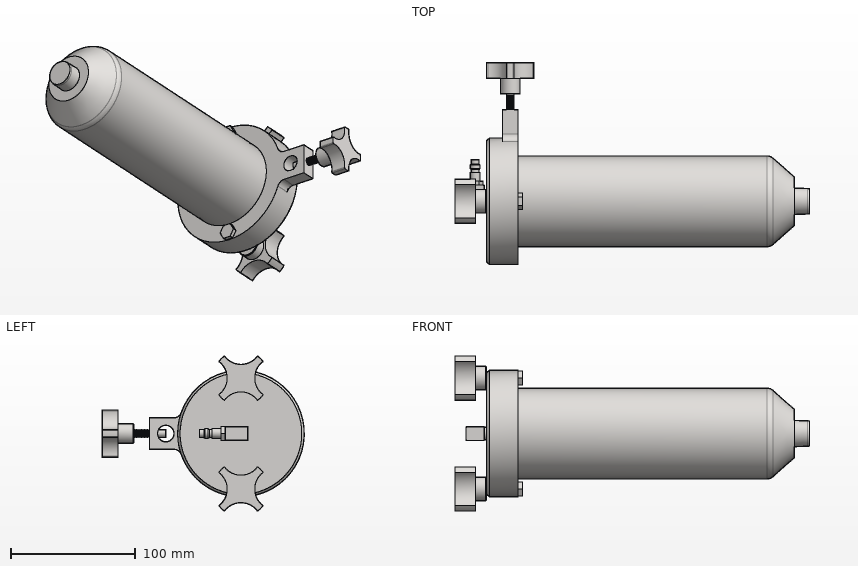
import cadquery as cq
import math

FLANGE_D = 101.6
FLANGE_LEN = 25.4
FLANGE_BEVEL_LEN = 2.5
FLANGE_BEVEL_DEPTH = 2.0

BODY_D = 73.0
BODY_END_X = 225.0
KNUCKLE_R = 7.0
CONE_ANGLE = 41.5
CONE_END_D = 39.0
NECK_ROOT_D = 21.34
NECK_TAPER = 1 / 16
NECK_END_X = 259.15
NECK_CHAMFER_LEN = 1.6
NECK_CHAMFER_DEPTH = 0.3

FACE_KNOB_R = 22.225
FACE_KNOB_ARM = 6.35
FACE_KNOB_WEB = 11.07
FACE_KNOB_TURN = 45.0
FACE_KNOB_THICK = 16.75
FACE_KNOB_OFFSET = 44.45
FACE_KNOB_STANDOFF = 25.4
FACE_HUB_D = 19.05
HUB_CHAMFER = 0.6

NUT_FLATS = 11.43
NUT_THICK = 3.5

LUG_THICK = 12.7
LUG_WIDTH = 25.4
LUG_TOP_Y = 73.5
LUG_FILLET_R = 6.35
LUG_HOLE_D = 13.08
LUG_HOLE_Y = 60.3

SIDE_KNOB_R = 19.05
SIDE_KNOB_ARM = 6.4
SIDE_KNOB_TIP_FILLET = 0.8
SIDE_KNOB_WEB = 9.5
SIDE_KNOB_THICK = 12.7
SIDE_KNOB_TOP_Y = 111.25
SIDE_HUB_D = 15.88
SIDE_HUB_LEN = 12.7
SIDE_ROD_D = 6.35
SIDE_ROD_ROOT_D = 5.39
SIDE_ROD_PITCH = 1.27

ELBOW_FRONT_X = -16.5
ELBOW_BACK_X = -1.7
ELBOW_MIN_Y = -5.5
ELBOW_MAX_Y = 13.0
ELBOW_WIDTH = 11.2
ELBOW_BEVEL = 0.45
ELBOW_STUB_D = 10.29
BARB_HEX_FLATS = 11.11
BARB_HEX_END_Y = 16.2
BARB_SHANK_D = 7.87
BARB_SHANK_END_Y = 23.1
BARB_NECK_D = 6.41
BARB_RING_START_Y = 25.4
BARB_RING_END_Y = 29.8
BARB_RAMP_LEN = 0.9
BARB_END_Y = 33.3


def cylinder(start, direction, diameter, length):
    """Solid cylinder from a start point along a direction."""
    solid = cq.Solid.makeCylinder(diameter / 2, length, cq.Vector(*start), cq.Vector(*direction))
    return cq.Workplane(solid)


def hex_prism(plane, across_flats, length):
    """Hexagonal prism with two corners on the plane's first axis."""
    across_corners = across_flats / math.cos(math.pi / 6)
    return plane.polygon(6, across_corners).extrude(length)


def flange():
    """Round flange with a bevelled front rim."""
    disc = cylinder((0, 0, 0), (1, 0, 0), FLANGE_D, FLANGE_LEN)
    return disc.faces("<X").chamfer(FLANGE_BEVEL_LEN, FLANGE_BEVEL_DEPTH)


def vessel():
    """Tube, knuckle, cone and tapered neck turned about X."""
    body_r = BODY_D / 2
    cone_r = CONE_END_D / 2
    angle = math.radians(CONE_ANGLE)

    def knuckle_point(turn):
        return BODY_END_X + KNUCKLE_R * math.sin(turn), -body_r + KNUCKLE_R * (1 - math.cos(turn))

    knuckle_end = knuckle_point(angle)
    cone_x = knuckle_end[0] + (-cone_r - knuckle_end[1]) / math.tan(angle)
    chamfer_x = NECK_END_X - NECK_CHAMFER_LEN
    neck_root_r = NECK_ROOT_D / 2
    neck_tip_r = neck_root_r - (chamfer_x - cone_x) * NECK_TAPER / 2
    return (
        cq.Workplane("XY")
        .moveTo(0, 0)
        .lineTo(0, -body_r)
        .lineTo(BODY_END_X, -body_r)
        .threePointArc(knuckle_point(angle / 2), knuckle_end)
        .lineTo(cone_x, -cone_r)
        .lineTo(cone_x, -neck_root_r)
        .lineTo(chamfer_x, -neck_tip_r)
        .lineTo(NECK_END_X, -neck_tip_r + NECK_CHAMFER_DEPTH)
        .lineTo(NECK_END_X, 0)
        .close()
        .revolve(360, (0, 0, 0), (1, 0, 0))
    )


def lug():
    """Side lug blended into the flange rim with concave fillets."""
    half = LUG_WIDTH / 2
    rim_r = FLANGE_D / 2
    fillet_z = half + LUG_FILLET_R
    fillet_y = math.sqrt((rim_r + LUG_FILLET_R) ** 2 - fillet_z ** 2)
    rim_share = rim_r / (rim_r + LUG_FILLET_R)
    rim_y = fillet_y * rim_share
    rim_z = fillet_z * rim_share
    mid_angle = (math.atan2(rim_z - fillet_z, rim_y - fillet_y) - math.pi / 2) / 2
    mid_y = fillet_y + LUG_FILLET_R * math.cos(mid_angle)
    mid_z = fillet_z + LUG_FILLET_R * math.sin(mid_angle)
    return (
        cq.Workplane("YZ", origin=(FLANGE_LEN - LUG_THICK, 0, 0))
        .moveTo(0, -rim_z)
        .lineTo(rim_y, -rim_z)
        .threePointArc((mid_y, -mid_z), (fillet_y, -half))
        .lineTo(LUG_TOP_Y, -half)
        .lineTo(LUG_TOP_Y, half)
        .lineTo(fillet_y, half)
        .threePointArc((mid_y, mid_z), (rim_y, rim_z))
        .lineTo(0, rim_z)
        .close()
        .extrude(LUG_THICK)
    )


def knob_outline(plane, radius, arm, web):
    """Four-arm knob outline; arms lie along the plane axes, scallops sit between them."""
    half = arm / 2
    tip = math.sqrt(radius ** 2 - half ** 2)
    middle = web / math.sqrt(2)

    def turned(point, quarter):
        u, v = point
        for _ in range(quarter):
            u, v = -v, u
        return u, v

    outline = plane.moveTo(tip, -half)
    for quarter in range(4):
        outline = outline.threePointArc(turned((radius, 0), quarter), turned((tip, half), quarter))
        outline = outline.threePointArc(turned((middle, middle), quarter), turned((half, tip), quarter))
    return outline.close()


def face_knob(z):
    """Knob, hub and rear nut of one flange clamp bolt at height z."""
    hub_len = FACE_KNOB_STANDOFF - FACE_KNOB_THICK
    plane = cq.Workplane("YZ", origin=(-FACE_KNOB_STANDOFF, 0, z))
    handle = (
        knob_outline(plane, FACE_KNOB_R, FACE_KNOB_ARM, FACE_KNOB_WEB)
        .extrude(FACE_KNOB_THICK)
        .rotate((0, 0, z), (1, 0, z), FACE_KNOB_TURN)
    )
    hub = cylinder((-hub_len, 0, z), (1, 0, 0), FACE_HUB_D, hub_len).faces(">X").chamfer(HUB_CHAMFER)
    nut = hex_prism(cq.Workplane("YZ", origin=(FLANGE_LEN, 0, z)), NUT_FLATS, NUT_THICK)
    return handle.union(hub).union(nut)


def side_knob():
    """Knob, hub and rod that clamp into the lug hole along Y."""
    axis_x = FLANGE_LEN - LUG_THICK / 2
    plane = cq.Workplane("XZ", origin=(axis_x, SIDE_KNOB_TOP_Y, 0))
    handle = knob_outline(plane, SIDE_KNOB_R, SIDE_KNOB_ARM, SIDE_KNOB_WEB).extrude(SIDE_KNOB_THICK)
    handle = handle.edges("|Y").fillet(SIDE_KNOB_TIP_FILLET)
    hub_top = SIDE_KNOB_TOP_Y - SIDE_KNOB_THICK
    hub = cylinder((axis_x, hub_top, 0), (0, -1, 0), SIDE_HUB_D, SIDE_HUB_LEN)
    hub = hub.faces("<Y").chamfer(HUB_CHAMFER)
    rod = cylinder((axis_x, LUG_HOLE_Y, 0), (0, 1, 0), SIDE_ROD_D, hub_top - LUG_HOLE_Y)
    return handle.union(hub).union(rod.cut(rod_grooves(axis_x)))


def rod_grooves(axis_x):
    """Ring-shaped V grooves standing for the thread on the exposed rod."""
    hub_end = SIDE_KNOB_TOP_Y - SIDE_KNOB_THICK - SIDE_HUB_LEN
    crest_r = SIDE_ROD_D / 2
    root_r = SIDE_ROD_ROOT_D / 2
    count = math.floor((hub_end - LUG_TOP_Y) / SIDE_ROD_PITCH)
    groove = (
        cq.Workplane("XY")
        .moveTo(crest_r, 0)
        .lineTo(root_r, SIDE_ROD_PITCH / 2)
        .lineTo(crest_r, SIDE_ROD_PITCH)
        .close()
        .revolve(360, (0, 0, 0), (0, 1, 0))
    )
    grooves = cq.Workplane("XY")
    for index in range(count):
        grooves.add(groove.translate((axis_x, LUG_TOP_Y + index * SIDE_ROD_PITCH, 0)))
    return grooves.combine()


def elbow():
    """Rectangular elbow block with bevelled front and rear edges, on a round stub."""
    length_x = ELBOW_BACK_X - ELBOW_FRONT_X
    length_y = ELBOW_MAX_Y - ELBOW_MIN_Y
    block = (
        cq.Workplane("XY")
        .box(length_x, length_y, ELBOW_WIDTH, centered=(False, False, True))
        .translate((ELBOW_FRONT_X, ELBOW_MIN_Y, 0))
    )
    block = block.edges("<X and (|Y or >Y)").chamfer(ELBOW_BEVEL)
    block = block.faces(">X").chamfer(ELBOW_BEVEL)
    stub = cylinder((ELBOW_BACK_X, 0, 0), (1, 0, 0), ELBOW_STUB_D, -ELBOW_BACK_X)
    return block.union(stub)


def hose_barb():
    """Hex, shank and barbed tip turned about the elbow's Y outlet."""
    axis_x = (ELBOW_FRONT_X + ELBOW_BACK_X) / 2
    shank_r = BARB_SHANK_D / 2
    neck_r = BARB_NECK_D / 2
    turned = (
        cq.Workplane("XY")
        .moveTo(0, ELBOW_MAX_Y)
        .lineTo(shank_r, ELBOW_MAX_Y)
        .lineTo(shank_r, BARB_SHANK_END_Y)
        .lineTo(neck_r, BARB_SHANK_END_Y)
        .lineTo(neck_r, BARB_RING_START_Y)
        .lineTo(shank_r, BARB_RING_START_Y + BARB_RAMP_LEN)
        .lineTo(shank_r, BARB_RING_END_Y - BARB_RAMP_LEN)
        .lineTo(neck_r, BARB_RING_END_Y)
        .lineTo(neck_r, BARB_END_Y)
        .lineTo(0, BARB_END_Y)
        .close()
        .revolve(360, (0, 0, 0), (0, 1, 0))
    )
    hex_plane = cq.Workplane("XZ", origin=(0, BARB_HEX_END_Y, 0))
    hexagon = hex_prism(hex_plane, BARB_HEX_FLATS, BARB_HEX_END_Y - ELBOW_MAX_Y)
    return turned.union(hexagon).translate((axis_x, 0, 0))


result = flange().union(vessel()).union(lug())
result = result.cut(cylinder((0, LUG_HOLE_Y, 0), (1, 0, 0), LUG_HOLE_D, FLANGE_LEN))
result = result.union(side_knob())
for z in (FACE_KNOB_OFFSET, -FACE_KNOB_OFFSET):
    result = result.union(face_knob(z))
result = result.union(elbow())
result = result.union(hose_barb())